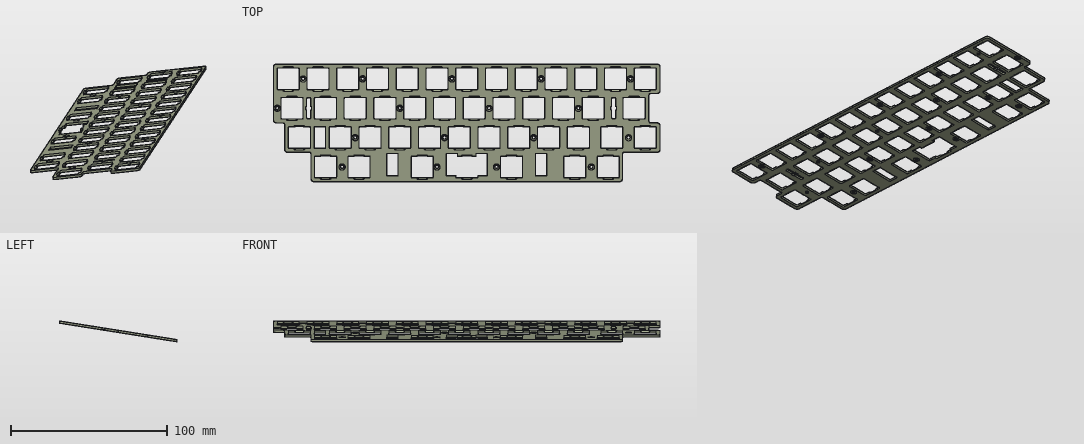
import cadquery as cq
UNIT = 19.05
ROW_COUNT = 4
THICKNESS = 1.5
TILT = 9.0
OUTER_CORNER_RADIUS = 2.0
INNER_CORNER_RADIUS = 1.0

SWITCH_SIZE = 14.0
OPENING_CORNER_RADIUS = 0.5
NOTCH_DEPTH = 1.0
NOTCH_LENGTH = 5.0

SCREW_DIAMETER = 2.0
SCREW_HEAD_DIAMETER = 4.0
COUNTERBORE_DEPTH = 1.0

STABILIZER_WIDTH = 7.0
SIDE_STABILIZER_HEIGHT = 14.0
SPACE_STABILIZER_HEIGHT = 14.6
SPACE_STABILIZER_LIFT = 1.5

SLOT_WIDTH = 2.5
SLOT_HEIGHT = 13.5
SLOT_EYE_WIDTH = 3.6
SLOT_EYE_HEIGHT = 2.25

FULL_WIDTH = 13.0
SECOND_ROW_END = 12.625
THIRD_ROW_START = 0.375
BOTTOM_ROW_START = 1.2625
BOTTOM_ROW_END = 11.7375
SPACE_KEY = 6.5
BOTTOM_ROW_SHIFT = 0.1
SPACE_STABILIZER_OFFSETS = [-2.5, -0.5, 0.5, 2.5]

SWITCHES = [
    [0.5 + i for i in range(13)],
    [0.625] + [1.75 + i for i in range(10)] + [12.125],
    [0.875] + [2.25 + i for i in range(9)] + [11.375, 12.5],
    [1.75, 2.875, 5.0, SPACE_KEY, 8.0, 10.125, 11.25],
]


def between(row, left_key):
    """Midpoint between a switch and its right neighbour, in key units."""
    return (SWITCHES[row][left_key] + SWITCHES[row][left_key + 1]) / 2


EDGE_SCREW = (SWITCHES[1][0] - SWITCH_SIZE / 2 / UNIT) / 2
COUNTERBORED_SCREWS = [
    [between(0, key) for key in (2, 5, 8, 11)],
    [EDGE_SCREW, between(1, 3)],
    [between(2, key) for key in (1, 4, 7)],
    [between(3, 0), SPACE_KEY - 1, SPACE_KEY + 1, between(3, 5)],
]
COUNTERSUNK_SCREWS = [
    [between(0, 0)],
    [between(1, 6), between(1, 9)],
    [between(2, 10)],
    [],
]


def place(row, position):
    """Plate coordinates of a position in a row; the plate is centred on the origin."""
    x = (position - FULL_WIDTH / 2) * UNIT
    y = (ROW_COUNT / 2 - row - 0.5) * UNIT
    return x, y


def corner(position, rows_down):
    """Outline corner at a position in key units and a whole number of rows down."""
    return place(rows_down - 0.5, position)


def make_blank():
    """Stepped plate with rounded corners, top face at Z = 0."""
    outline = [
        corner(0, 0),
        corner(FULL_WIDTH, 0),
        corner(FULL_WIDTH, 1),
        corner(SECOND_ROW_END, 1),
        corner(SECOND_ROW_END, 2),
        corner(FULL_WIDTH, 2),
        corner(FULL_WIDTH, 3),
        corner(BOTTOM_ROW_END, 3),
        corner(BOTTOM_ROW_END, 4),
        corner(BOTTOM_ROW_START, 4),
        corner(BOTTOM_ROW_START, 3),
        corner(THIRD_ROW_START, 3),
        corner(THIRD_ROW_START, 2),
        corner(0, 2),
    ]
    inner_corners = [
        corner(SECOND_ROW_END, 1),
        corner(SECOND_ROW_END, 2),
        corner(BOTTOM_ROW_END, 3),
        corner(BOTTOM_ROW_START, 3),
        corner(THIRD_ROW_START, 2),
    ]
    blank = cq.Workplane("XY").polyline(outline).close().extrude(-THICKNESS)
    for x, y in outline:
        radius = INNER_CORNER_RADIUS if (x, y) in inner_corners else OUTER_CORNER_RADIUS
        upright = cq.selectors.NearestToPointSelector((x, y, -THICKNESS / 2))
        blank = blank.edges("|Z").edges(upright).fillet(radius)
    return blank


def box_cutter(width, height):
    """Rectangular cutter through the plate, centred on the origin."""
    return cq.Workplane("XY").rect(width, height).extrude(-THICKNESS)


def make_notch():
    """Elongated countersink, centred on the origin: a V groove with conical ends."""
    profile = [(-NOTCH_DEPTH, 0), (NOTCH_DEPTH, 0), (0, -NOTCH_DEPTH)]
    notch = cq.Workplane("YZ").polyline(profile).close().extrude(NOTCH_LENGTH / 2, both=True)
    for end in (-NOTCH_LENGTH / 2, NOTCH_LENGTH / 2):
        tip = cq.Vector(end, 0, -NOTCH_DEPTH)
        notch = notch.union(cq.Workplane(obj=cq.Solid.makeCone(0, NOTCH_DEPTH, NOTCH_DEPTH, tip)))
    return notch


def make_switch_cutter():
    """Square switch opening with a bevelled notch on its +Y and -Y edges."""
    notch = make_notch()
    edge = SWITCH_SIZE / 2
    opening = box_cutter(SWITCH_SIZE, SWITCH_SIZE).edges("|Z").fillet(OPENING_CORNER_RADIUS)
    return opening.union(notch.translate((0, edge, 0))).union(notch.translate((0, -edge, 0)))


def make_countersunk_cutter():
    """Screw hole with a conical head recess."""
    hole_radius = SCREW_DIAMETER / 2
    head_radius = SCREW_HEAD_DIAMETER / 2
    sink_depth = head_radius - hole_radius
    profile = [
        (0, 0),
        (head_radius, 0),
        (hole_radius, -sink_depth),
        (hole_radius, -THICKNESS),
        (0, -THICKNESS),
    ]
    return cq.Workplane("XZ").polyline(profile).close().revolve(360, (0, 0), (0, 1))


def make_counterbored_cutter():
    """Screw hole with a flat-bottomed head recess."""
    hole = cq.Workplane("XY").circle(SCREW_DIAMETER / 2).extrude(-THICKNESS)
    head = cq.Workplane("XY").circle(SCREW_HEAD_DIAMETER / 2).extrude(-COUNTERBORE_DEPTH)
    return hole.union(head)


def make_slot_cutter():
    """Narrow slot with a wider eye at its middle."""
    slot = box_cutter(SLOT_WIDTH, SLOT_HEIGHT).edges("|Z").fillet(OPENING_CORNER_RADIUS)
    return slot.union(box_cutter(SLOT_EYE_WIDTH, SLOT_EYE_HEIGHT))


def cutters_at(cutter, row, positions, offset=(0, 0)):
    """Copies of a cutter at the given positions of a row, moved by an X, Y offset in mm."""
    copies = []
    for position in positions:
        x, y = place(row, position)
        copies.append(cutter.val().translate(cq.Vector(x + offset[0], y + offset[1], 0)))
    return copies


def make_plate():
    cutters = []
    switch = make_switch_cutter()
    counterbored = make_counterbored_cutter()
    countersunk = make_countersunk_cutter()
    for row in range(ROW_COUNT):
        shift = BOTTOM_ROW_SHIFT if row == ROW_COUNT - 1 else 0
        cutters += cutters_at(switch, row, SWITCHES[row], (shift, 0))
        cutters += cutters_at(counterbored, row, COUNTERBORED_SCREWS[row])
        cutters += cutters_at(countersunk, row, COUNTERSUNK_SCREWS[row])

    cutters += cutters_at(make_slot_cutter(), 1, [between(1, 0), between(1, 10)])

    side_stabilizer = box_cutter(STABILIZER_WIDTH, SIDE_STABILIZER_HEIGHT)
    cutters += cutters_at(side_stabilizer, 2, [between(2, 0)])

    space_stabilizer = box_cutter(STABILIZER_WIDTH, SPACE_STABILIZER_HEIGHT)
    stabilizer_positions = [SPACE_KEY + offset for offset in SPACE_STABILIZER_OFFSETS]
    cutters += cutters_at(space_stabilizer, 3, stabilizer_positions, (0, SPACE_STABILIZER_LIFT))

    plate = make_blank().val().cut(*cutters)
    return cq.Workplane(obj=plate.Solids()[0])


result = make_plate().rotate((0, 0, 0), (1, 0, 0), TILT)